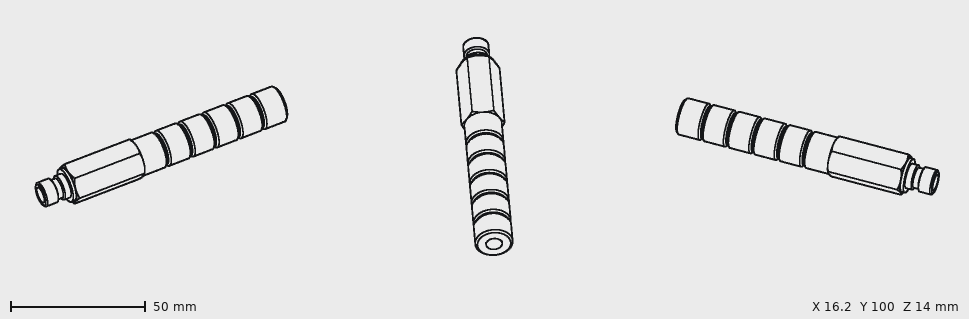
import cadquery as cq
import math

total_length = 100.0
bore_diameter = 6.0

tip_radius = 9.5 / 2
tip_chamfer = 0.6
tip_end_chamfer = 0.5
neck_radius = 7.8 / 2
neck_start = 5.0
neck_end = 7.9
neck_bevel = tip_radius - neck_radius
neck_bevel_length = 0.4

collar_radius = 13.0 / 2
collar_start = 10.3
hex_start = 11.5
hex_end = 40.0
hex_across_flats = 14.0
hex_across_corners = hex_across_flats / math.cos(math.pi / 6)
bevel_angle = math.radians(30)

shank_radius = hex_across_flats / 2
shank_chamfer = 0.8
groove_count = 5
groove_pitch = 10.0
groove_width = 2.0
groove_floor_width = 0.6
groove_depth = 0.8


def revolve_about_y(points):
    """Turn a closed (radius, Y) outline about the Y axis."""
    outline = cq.Workplane("XY").polyline(points).close()
    return outline.revolve(360, (0, 0, 0), (0, 1, 0))


def make_tip():
    return revolve_about_y([
        (0, 0),
        (tip_radius - tip_chamfer, 0),
        (tip_radius, tip_end_chamfer),
        (tip_radius, neck_start),
        (neck_radius, neck_start + neck_bevel_length),
        (neck_radius, neck_end - neck_bevel_length),
        (tip_radius, neck_end),
        (tip_radius, collar_start),
        (collar_radius, collar_start),
        (collar_radius, hex_start),
        (0, hex_start),
    ])


def make_hex_grip():
    """Hexagon with corners on X, its corners turned down by a cone at each end."""
    length = hex_end - hex_start
    prism = (
        cq.Workplane("XZ", origin=(0, hex_end, 0))
        .polygon(6, hex_across_corners)
        .extrude(length)
    )
    corner_radius = hex_across_corners / 2
    face_radius = hex_across_flats / 2
    bevel_length = (corner_radius - face_radius) * math.tan(bevel_angle)
    envelope = revolve_about_y([
        (0, hex_start),
        (face_radius, hex_start),
        (corner_radius, hex_start + bevel_length),
        (corner_radius, hex_end - bevel_length),
        (face_radius, hex_end),
        (0, hex_end),
    ])
    return prism.intersect(envelope)


def make_shank():
    shank = revolve_about_y([
        (0, hex_end),
        (shank_radius, hex_end),
        (shank_radius, total_length - shank_chamfer),
        (shank_radius - shank_chamfer, total_length),
        (0, total_length),
    ])
    for index in range(1, groove_count + 1):
        shank = shank.cut(make_groove(total_length - index * groove_pitch))
    return shank


def make_groove(center):
    """Ring with sloping sides and a narrow flat floor."""
    floor_radius = shank_radius - groove_depth
    return revolve_about_y([
        (shank_radius, center - groove_width / 2),
        (floor_radius, center - groove_floor_width / 2),
        (floor_radius, center + groove_floor_width / 2),
        (shank_radius, center + groove_width / 2),
    ])


bore = (
    cq.Workplane("XZ", origin=(0, total_length, 0))
    .circle(bore_diameter / 2)
    .extrude(total_length)
)

result = make_tip().union(make_hex_grip()).union(make_shank()).cut(bore)